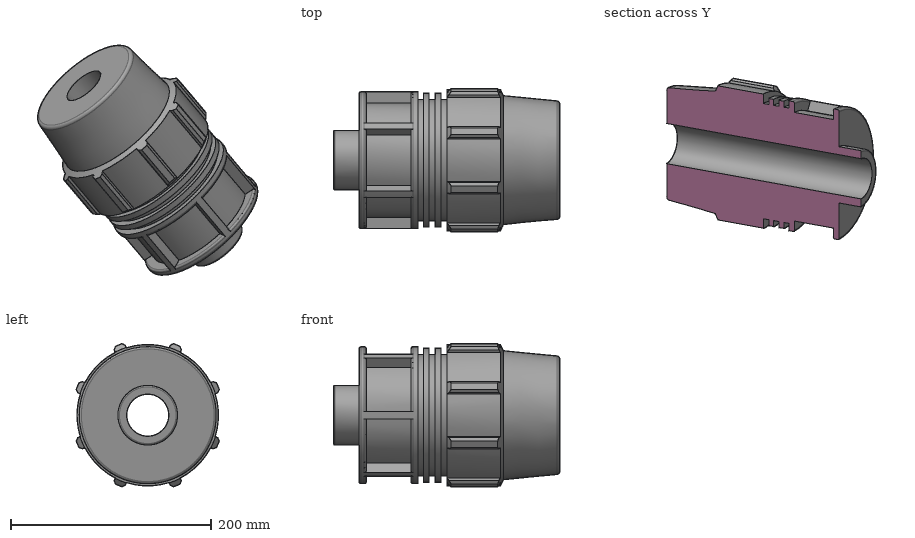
import cadquery as cq

TOTAL_LENGTH = 226.0
BORE_DIAMETER = 41.73

SPIGOT_DIAMETER = 59.61
SPIGOT_EDGE_RADIUS = 1.5

FLANGE_DIAMETER = 136.8
FLANGE_EDGE_RADIUS = 2.1
COLLAR_START = 25.4
COLLAR_END = 84.4
FRONT_FLANGE_WIDTH = 7.3
REAR_FLANGE_WIDTH = 7.1
WINDOW_FLOOR_DIAMETER = 114.4
BAR_COUNT = 6
BAR_WIDTH = 7.4

NECK_DIAMETER = 121.6
RING_DIAMETER = 134.06
RING_WIDTH = 5.9
RING_STARTS = (89.6, 101.4)

NUT_DIAMETER = 141.4
NUT_START = 113.2
NUT_END = 169.6
NUT_CHAMFER_LENGTH = 3.1
RIB_COUNT = 8
RIB_TOP_RADIUS = 75.95
RIB_TOP_HALF_WIDTH = 3.5
RIB_SHOULDER_RADIUS = 73.2
RIB_SHOULDER_HALF_WIDTH = 6.0
RIB_BASE_HALF_WIDTH = 6.2
RIB_LEAD_IN_LENGTH = 4.6
RIB_FRONT_STEP = 0.2
RIB_CLEARANCE = 0.5

TAIL_START_DIAMETER = 129.0
TAIL_END_DIAMETER = 118.0
TAIL_EDGE_RADIUS = 3.5

NUT_RADIUS = NUT_DIAMETER / 2
TAIL_START_RADIUS = TAIL_START_DIAMETER / 2


def disc(diameter, start, end):
    """Cylinder on the X axis between two X positions."""
    return cq.Workplane("YZ").workplane(offset=start).circle(diameter / 2).extrude(end - start)


def revolve_about_x(points):
    """Solid of revolution about X from a closed (x, radius) outline."""
    return cq.Workplane("XY").polyline(points).close().revolve(360, (0, 0, 0), (1, 0, 0))


def make_spigot():
    return disc(SPIGOT_DIAMETER, 0, COLLAR_START).faces("<X").edges().fillet(SPIGOT_EDGE_RADIUS)


def make_collar():
    window_start = COLLAR_START + FRONT_FLANGE_WIDTH
    window_end = COLLAR_END - REAR_FLANGE_WIDTH
    front_flange = disc(FLANGE_DIAMETER, COLLAR_START, window_start).edges().fillet(FLANGE_EDGE_RADIUS)
    rear_flange = disc(FLANGE_DIAMETER, window_end, COLLAR_END)
    rear_flange = rear_flange.faces("<X").edges().fillet(FLANGE_EDGE_RADIUS)
    collar = front_flange.union(rear_flange)
    collar = collar.union(disc(WINDOW_FLOOR_DIAMETER, window_start, window_end))

    bar_start = window_start - FLANGE_EDGE_RADIUS
    bar_end = window_end + FLANGE_EDGE_RADIUS
    bar_stock = disc(FLANGE_DIAMETER, bar_start, bar_end)
    for index in range(BAR_COUNT // 2):
        bar_pair = cq.Workplane("XY").box(
            bar_end - bar_start, FLANGE_DIAMETER, BAR_WIDTH, centered=(False, True, True)
        )
        bar_pair = bar_pair.translate((bar_start, 0, 0)).intersect(bar_stock)
        collar = collar.union(bar_pair.rotate((0, 0, 0), (1, 0, 0), index * 360 / BAR_COUNT))
    return collar


def make_neck():
    neck = disc(NECK_DIAMETER, COLLAR_END, NUT_START)
    for ring_start in RING_STARTS:
        neck = neck.union(disc(RING_DIAMETER, ring_start, ring_start + RING_WIDTH))
    return neck


def make_rib_bar():
    """One grip rib as a straight bar, pointing along +Z."""
    rib_bottom = NECK_DIAMETER / 2
    return (
        cq.Workplane("YZ")
        .workplane(offset=NUT_START)
        .moveTo(-RIB_BASE_HALF_WIDTH, rib_bottom)
        .lineTo(-RIB_BASE_HALF_WIDTH, NUT_RADIUS)
        .lineTo(-RIB_SHOULDER_HALF_WIDTH, RIB_SHOULDER_RADIUS)
        .lineTo(-RIB_TOP_HALF_WIDTH, RIB_TOP_RADIUS)
        .lineTo(RIB_TOP_HALF_WIDTH, RIB_TOP_RADIUS)
        .lineTo(RIB_SHOULDER_HALF_WIDTH, RIB_SHOULDER_RADIUS)
        .lineTo(RIB_BASE_HALF_WIDTH, NUT_RADIUS)
        .lineTo(RIB_BASE_HALF_WIDTH, rib_bottom)
        .close()
        .extrude(NUT_END - NUT_START)
    )


def make_nut():
    nut = disc(NUT_DIAMETER, NUT_START, NUT_END)
    rib_bar = make_rib_bar()
    for index in range(RIB_COUNT):
        rib_angle = (index + 0.5) * 360 / RIB_COUNT
        nut = nut.union(rib_bar.rotate((0, 0, 0), (1, 0, 0), rib_angle))

    chamfer_slope = (NUT_RADIUS - TAIL_START_RADIUS) / NUT_CHAMFER_LENGTH
    clear_radius = RIB_TOP_RADIUS + RIB_CLEARANCE
    envelope = revolve_about_x([
        (NUT_START, 0),
        (NUT_START, NUT_RADIUS + RIB_FRONT_STEP),
        (NUT_START + RIB_LEAD_IN_LENGTH, clear_radius),
        (NUT_END - (clear_radius - TAIL_START_RADIUS) / chamfer_slope, clear_radius),
        (NUT_END, TAIL_START_RADIUS),
        (NUT_END, 0),
    ])
    return nut.intersect(envelope)


def make_tail():
    tail = revolve_about_x([
        (NUT_END, 0),
        (NUT_END, TAIL_START_RADIUS),
        (TOTAL_LENGTH, TAIL_END_DIAMETER / 2),
        (TOTAL_LENGTH, 0),
    ])
    return tail.faces(">X").edges().fillet(TAIL_EDGE_RADIUS)


body = make_spigot().union(make_collar()).union(make_neck()).union(make_nut()).union(make_tail())
result = body.cut(disc(BORE_DIAMETER, 0, TOTAL_LENGTH))